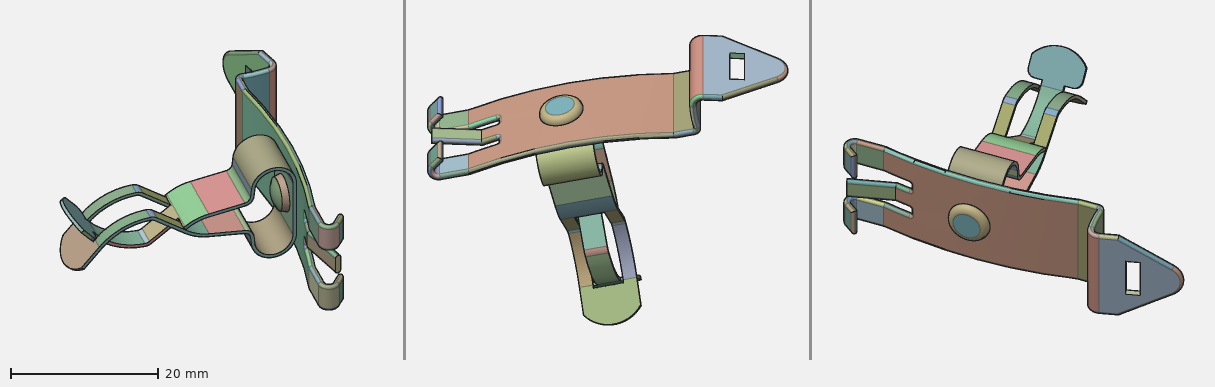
import cadquery as cq
import math

STRAP_T = 0.9
STRAP_HALF_W = 7.05
STRAP_EDGE_R = 0.415
LONGEST_THICKNESS_EDGE = 1.2 * STRAP_T

ARCH_LEFT_X = -15.2
ARCH_RIGHT_X = 13.4
ARCH_RISE = 1.5
FLAT_LEFT = 2.75
FLAT_RIGHT = 4.0

FOOT_BEND_R = 0.6
RISER_STRAIGHT = 0.1
RISER_BOW_R = 18.2
RISER_LEAN_LOW = -2.0
RISER_LEAN_HIGH = 9.6
NOSE_BEND_R = 1.3
NOSE_PITCH = 15.0

NOSE_TIP_X = -31.6
NOSE_TIP_R = 2.9
NOSE_TAPER = 31.5
NOSE_SLOT_START = 3.65
NOSE_SLOT_LENGTH = 2.0
NOSE_SLOT_WIDTH = 5.9

HOOK_BEND_R = 1.05
HOOK_TURN = 142.0
HOOK_TIP = 1.95

FORK_GAP_HALF = 3.0
FORK_ROOT_X = 9.0
FORK_ROOT_R = 0.3
TANG_HALF_W = 1.45
TANG_KINK_X = 11.45
TANG_PITCH = 15.0
TANG_LENGTH = 6.95

CLIP_T = 0.5
CLIP_W = 8.0
CLIP_HEIGHT = 15.0

LOOP_R = 3.0
LOOP_TURN = 174.0
LOOP_DROP = 1.2
THROAT_R = 1.2
ARM_SLOPE = 7.0
ARM_LENGTH = 5.2
CROSS_BEND_R = 7.05
CROSS_SLOPE = 36.0
BULGE_R = 1.35
BULGE_START = 18.8
JAW_R = 9.55
TAB_SLOPE = 48.5
CROSS_SETBACK = 0.38
NECK_W = 3.25
RAIL_GAP = 4.2
TAB_REACH = 30.8
NECK_PAST_CROSSING = 1.0
RAILS_PAST_CROSSING = 0.7
TAB_END_R = 5.0
TAB_SHOULDER_R = 1.2

SHANK_R = 2.3
BACK_HEAD_R = 3.05
BACK_HEAD_ROUND = 1.0
BACK_HEAD_BOTTOM = 2.75
BACK_HEAD_TOP = 3.8
FRONT_HEAD_R = 2.7
DOME_R = 2.35
DOME_BASE_Y = -0.15
DOME_TOP_Y = -0.9


def arch_front(x):
    """Y of the strap's concave front face on the arch."""
    half_chord = (ARCH_RIGHT_X - ARCH_LEFT_X) / 2
    radius = (half_chord**2 + ARCH_RISE**2) / (2 * ARCH_RISE)
    offset = x - (ARCH_LEFT_X + ARCH_RIGHT_X) / 2
    return ARCH_RISE - radius + math.sqrt(radius**2 - offset**2)


def polar(length, heading):
    """Plane vector of a length at a heading in degrees."""
    angle = math.radians(heading)
    return length * math.cos(angle), length * math.sin(angle)


def step(pose, move):
    """Pose (u, v, heading) after a straight ("line", length) or a bend ("bend", radius, turn)."""
    u, v, heading = pose
    if move[0] == "line":
        du, dv = polar(move[1], heading)
        return u + du, v + dv, heading
    radius, turn = move[1:]
    side = math.copysign(90, turn)
    to_center = polar(radius, heading + side)
    from_center = polar(radius, heading + turn - side)
    return u + to_center[0] + from_center[0], v + to_center[1] + from_center[1], heading + turn


def beside(pose, offset):
    """Point at an offset to the left of a pose."""
    du, dv = polar(offset, pose[2] + 90)
    return pose[0] + du, pose[1] + dv


def ribbon(plane, pose, moves, thickness, near, far):
    """Sheet that follows the moves, extruded from near to far; returns it with the end pose."""
    half = thickness / 2
    poses = [pose]
    middles = []
    for move in moves:
        if move[0] == "bend":
            middles.append(step(poses[-1], ("bend", move[1], move[2] / 2)))
        else:
            middles.append(None)
        poses.append(step(poses[-1], move))

    outline = cq.Workplane(plane).workplane(offset=near).moveTo(*beside(poses[0], half))
    for middle, end in zip(middles, poses[1:]):
        if middle:
            outline = outline.threePointArc(beside(middle, half), beside(end, half))
        else:
            outline = outline.lineTo(*beside(end, half))
    outline = outline.lineTo(*beside(poses[-1], -half))
    for middle, start in zip(reversed(middles), reversed(poses[:-1])):
        if middle:
            outline = outline.threePointArc(beside(middle, -half), beside(start, -half))
        else:
            outline = outline.lineTo(*beside(start, -half))
    return outline.close().extrude(far - near), poses[-1]


def sheet_plane(plane, pose):
    """Plane on the middle of a flat sheet, from a pose: x along the sheet, y across it."""
    along = polar(0.5, pose[2])
    origin = plane.toWorldCoords(pose[:2])
    direction = plane.toWorldCoords(along) - plane.origin
    return cq.Plane(origin, xDir=direction, normal=plane.zDir.cross(direction))


STRAP_PLANE = cq.Plane((0, 0, 0), xDir=(1, 0, 0), normal=(0, 0, 1))


def nose_length(pose):
    """Length of the nose from the end of its bend, so that its rolled tip ends at NOSE_TIP_X."""
    pitch = math.radians(NOSE_PITCH)
    land = STRAP_T / 2 - STRAP_EDGE_R
    tip_depth = STRAP_EDGE_R + land * math.sin(pitch)
    return STRAP_EDGE_R + (pose[0] - NOSE_TIP_X - tip_depth) / math.cos(pitch)


def nose_plate(plane, length):
    taper = math.radians(NOSE_TAPER)
    tip_center = length - NOSE_TIP_R
    tangent_s = tip_center + NOSE_TIP_R * math.sin(taper)
    tangent_w = NOSE_TIP_R * math.cos(taper)
    shoulder_s = tangent_s - (STRAP_HALF_W - tangent_w) / math.tan(taper)
    return (
        cq.Workplane(plane)
        .moveTo(0, -STRAP_HALF_W)
        .lineTo(shoulder_s, -STRAP_HALF_W)
        .lineTo(tangent_s, -tangent_w)
        .threePointArc((length, 0), (tangent_s, tangent_w))
        .lineTo(shoulder_s, STRAP_HALF_W)
        .lineTo(0, STRAP_HALF_W)
        .close()
        .extrude(STRAP_T / 2, both=True)
    )


def nose_slot(plane):
    return (
        cq.Workplane(plane)
        .center(NOSE_SLOT_START + NOSE_SLOT_LENGTH / 2, 0)
        .rect(NOSE_SLOT_LENGTH, NOSE_SLOT_WIDTH)
        .extrude(STRAP_T, both=True)
    )


def arch_plate():
    """Arch with an even thickness along Y, so that it meets the flats squarely."""
    peak_x = (ARCH_LEFT_X + ARCH_RIGHT_X) / 2
    return (
        cq.Workplane(STRAP_PLANE)
        .workplane(offset=-STRAP_HALF_W)
        .moveTo(ARCH_LEFT_X, 0)
        .threePointArc((peak_x, ARCH_RISE), (ARCH_RIGHT_X, 0))
        .lineTo(ARCH_RIGHT_X, STRAP_T)
        .threePointArc((peak_x, ARCH_RISE + STRAP_T), (ARCH_LEFT_X, STRAP_T))
        .close()
        .extrude(2 * STRAP_HALF_W)
    )


def fork_gaps():
    """Slots on both sides of the tang, and the space where the tang leaves the arch."""
    length = ARCH_RIGHT_X - FORK_ROOT_X
    width = FORK_GAP_HALF - TANG_HALF_W
    depth = 4 * STRAP_T
    slot = (
        cq.Workplane("XY")
        .box(2 * length, depth, width, centered=(False, True, True))
        .edges("|Y and <X")
        .fillet(FORK_ROOT_R)
        .translate((FORK_ROOT_X, 0, TANG_HALF_W + width / 2))
    )
    space = (
        cq.Workplane("XY")
        .box(length, depth, 2 * FORK_GAP_HALF, centered=(False, True, True))
        .translate((TANG_KINK_X, 0, 0))
    )
    return slot.union(slot.mirror("XY")).union(space)


def tang():
    start_y = arch_front(TANG_KINK_X)
    along = polar(1, TANG_PITCH)
    end = TANG_KINK_X + TANG_LENGTH * along[0], start_y + TANG_LENGTH * along[1]
    squared = STRAP_T * along[1]
    back_end = end[0] - squared * along[0], end[1] + STRAP_T - squared * along[1]
    return (
        cq.Workplane(STRAP_PLANE)
        .polyline([(TANG_KINK_X, start_y), end, back_end, (TANG_KINK_X, start_y + STRAP_T)])
        .close()
        .extrude(TANG_HALF_W, both=True)
    )


def upright_edges(strap, x, y):
    """Edges along Z within the sheet's thickness of a point."""
    near = (x - STRAP_T, y - STRAP_T, -STRAP_HALF_W)
    far = (x + STRAP_T, y + STRAP_T, STRAP_HALF_W)
    return strap.edges("|Z").edges(cq.selectors.BoxSelector(near, far)).vals()


def rolled_edges(strap, hook_pose):
    """Edges of the outline, fork roots and hook tips; not the thickness, bend lines or tang end."""
    outline = [
        edge
        for edge in strap.edges("not |Z").vals()
        if edge.geomType() != "LINE" or edge.Length() > LONGEST_THICKNESS_EDGE
    ]
    roots = upright_edges(strap, FORK_ROOT_X, arch_front(FORK_ROOT_X) + STRAP_T / 2)
    hook_tips = upright_edges(strap, hook_pose[0], hook_pose[1])
    return outline + roots + hook_tips


def make_strap():
    foot_moves = [
        ("line", FLAT_LEFT),
        ("bend", FOOT_BEND_R, RISER_LEAN_LOW - 90),
        ("line", RISER_STRAIGHT),
        ("bend", RISER_BOW_R, RISER_LEAN_HIGH - RISER_LEAN_LOW),
        ("bend", NOSE_BEND_R, 90 + NOSE_PITCH - RISER_LEAN_HIGH),
    ]
    foot_start = (ARCH_LEFT_X, STRAP_T / 2, 180)
    foot, nose_pose = ribbon(
        STRAP_PLANE, foot_start, foot_moves, STRAP_T, -STRAP_HALF_W, STRAP_HALF_W
    )
    nose_frame = sheet_plane(STRAP_PLANE, nose_pose)

    hook_moves = [
        ("line", FLAT_RIGHT),
        ("bend", HOOK_BEND_R, HOOK_TURN),
        ("line", HOOK_TIP),
    ]
    hook_start = (ARCH_RIGHT_X, STRAP_T / 2, 0)
    hook, hook_pose = ribbon(
        STRAP_PLANE, hook_start, hook_moves, STRAP_T, FORK_GAP_HALF, STRAP_HALF_W
    )

    strap = arch_plate().cut(fork_gaps()).union(tang())
    strap = strap.union(hook).union(hook.mirror("XY"))
    strap = strap.union(foot).union(nose_plate(nose_frame, nose_length(nose_pose)))
    strap = strap.newObject(rolled_edges(strap, hook_pose)).fillet(STRAP_EDGE_R)
    return strap.cut(nose_slot(nose_frame)).cut(rivet_hole())


CLIP_PLANE = cq.Plane((0, 0, 0), xDir=(0, -1, 0), normal=(-1, 0, 0))
CLIP_BACK_Y = arch_front(CLIP_W / 2)


def strip(pose, moves, width, center=0.0):
    return ribbon(CLIP_PLANE, pose, moves, CLIP_T, center - width / 2, center + width / 2)


def tab_length(pose):
    """Length from a pose on the straight end of an arm to the outermost point of its tab."""
    slope = math.radians(pose[2])
    return (TAB_REACH - CLIP_T / 2 * math.sin(slope) - pose[0]) / math.cos(slope)


def tab(pose):
    """Flat tab from a pose to its round end."""
    half = CLIP_W / 2
    length = tab_length(pose)
    side = length - TAB_END_R + math.sqrt(TAB_END_R**2 - half**2)
    return (
        cq.Workplane(sheet_plane(CLIP_PLANE, pose))
        .moveTo(0, -half)
        .lineTo(side, -half)
        .threePointArc((length, 0), (side, half))
        .lineTo(0, half)
        .close()
        .extrude(CLIP_T / 2, both=True)
    )


def make_clip():
    straight_back = CLIP_HEIGHT / 2 - CLIP_T / 2 - LOOP_R
    wide_moves = [
        ("line", straight_back),
        ("bend", LOOP_R, -LOOP_TURN),
        ("line", LOOP_DROP),
        ("bend", THROAT_R, LOOP_TURN - 90 - ARM_SLOPE),
        ("line", ARM_LENGTH),
        ("bend", CROSS_BEND_R, ARM_SLOPE - CROSS_SLOPE),
    ]
    back = (CLIP_T / 2 - CLIP_BACK_Y, 0, 90)
    wide, cross_pose = strip(back, wide_moves, CLIP_W)

    slope = math.radians(CROSS_SLOPE)
    to_crossing = cross_pose[1] / math.sin(slope)
    lead_in, narrow_pose = strip(cross_pose, [("line", to_crossing - CROSS_SETBACK)], CLIP_W)
    half_clip = wide.union(lead_in)

    to_bulge = (BULGE_START - narrow_pose[0]) / math.cos(slope)
    jaw_moves = [
        ("line", to_bulge),
        ("bend", BULGE_R, CROSS_SLOPE),
        ("bend", JAW_R, TAB_SLOPE),
    ]
    jaw_pose = narrow_pose
    for move in jaw_moves:
        jaw_pose = step(jaw_pose, move)
    to_tip_crossing = -jaw_pose[1] / math.sin(math.radians(TAB_SLOPE))

    neck_moves = jaw_moves + [("line", to_tip_crossing + NECK_PAST_CROSSING)]
    neck, shoulder_pose = strip(narrow_pose, neck_moves, NECK_W)
    upper_tab = tab(shoulder_pose)
    corner_y, corner_z = -shoulder_pose[0], shoulder_pose[1]
    for x in (-CLIP_W / 2, CLIP_W / 2):
        corner = cq.selectors.NearestToPointSelector((x, corner_y, corner_z))
        upper_tab = upper_tab.edges(corner).fillet(TAB_SHOULDER_R)
    upper_arm = half_clip.union(neck).union(upper_tab)

    rail_w = (CLIP_W - RAIL_GAP) / 2
    rail_moves = jaw_moves + [("line", to_tip_crossing + RAILS_PAST_CROSSING)]
    lower_arm = half_clip
    for side in (-1, 1):
        rail, slot_end_pose = strip(narrow_pose, rail_moves, rail_w, side * (CLIP_W - rail_w) / 2)
        lower_arm = lower_arm.union(rail)
    lower_arm = lower_arm.union(tab(slot_end_pose)).mirror("XY")

    return upper_arm.union(lower_arm).cut(rivet_hole())


def rivet_hole():
    length = BACK_HEAD_TOP - DOME_TOP_Y
    return cq.Workplane("XZ", origin=(0, BACK_HEAD_TOP, 0)).circle(SHANK_R).extrude(length)


def make_rivet():
    seat_y = CLIP_BACK_Y - CLIP_T
    flat_r = BACK_HEAD_R - BACK_HEAD_ROUND
    round_y = BACK_HEAD_TOP - BACK_HEAD_ROUND
    diagonal = BACK_HEAD_ROUND * math.sqrt(0.5)
    dome_rise = DOME_BASE_Y - DOME_TOP_Y
    dome_sphere_r = (DOME_R**2 + dome_rise**2) / (2 * dome_rise)
    dome_mid_r = DOME_R / 2
    dome_mid_y = DOME_TOP_Y + dome_sphere_r - math.sqrt(dome_sphere_r**2 - dome_mid_r**2)
    return (
        cq.Workplane("XY")
        .moveTo(0, DOME_TOP_Y)
        .threePointArc((dome_mid_r, dome_mid_y), (DOME_R, DOME_BASE_Y))
        .lineTo(FRONT_HEAD_R, seat_y)
        .lineTo(SHANK_R, seat_y)
        .lineTo(SHANK_R, BACK_HEAD_BOTTOM)
        .lineTo(BACK_HEAD_R, BACK_HEAD_BOTTOM)
        .lineTo(BACK_HEAD_R, round_y)
        .threePointArc((flat_r + diagonal, round_y + diagonal), (flat_r, BACK_HEAD_TOP))
        .lineTo(0, BACK_HEAD_TOP)
        .close()
        .revolve(360, (0, 0, 0), (0, 1, 0))
    )


strap = make_strap()
clip = make_clip()
rivet = make_rivet()

result = cq.Compound.makeCompound([strap.solids().val(), clip.solids().val(), rivet.solids().val()])